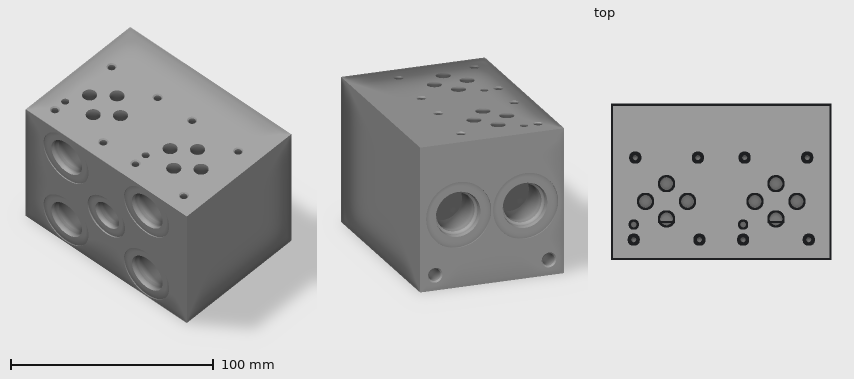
import cadquery as cq

LENGTH = 108.0
DEPTH = 76.2
HEIGHT = 76.2

STATION_X = (LENGTH / 4, 3 * LENGTH / 4)
VALVE_PORT_DIA = 7.5
VALVE_PORT_DEPTH = 7.6
SIDE_PORT_OFFSET = 10.4
LOWER_PORT_Y = 19.9
SIDE_PORT_Y = 28.5
UPPER_PORT_Y = 37.2
PIN_DIA = 4.0
PIN_DEPTH = 5.4
PIN_Y = 17.1
SCREW_DIA = 3.7
SCREW_MOUTH_DIA = 5.0
SCREW_DEPTH = 15.1
FRONT_SCREW_OFFSET = 16.2
FRONT_SCREW_Y = 9.6
REAR_SCREW_OFFSET = 15.4
REAR_SCREW_Y = 50.1

WORK_PORT_Z = (16.1, 60.5)
PORT_DEPTH = 18.2
GAUGE_PORT_X = LENGTH / 2
GAUGE_PORT_Z = HEIGHT / 2
SUPPLY_PORT_OFFSET = 17.7
SUPPLY_PORT_DEPTH = 21.6

WORK_PORT = dict(spotface_dia=30.2, spotface_depth=0.5, mouth_dia=20.5, seat_dia=19.6, bore_dia=17.4)
GAUGE_PORT = dict(spotface_dia=25.0, spotface_depth=0.8, mouth_dia=15.9, seat_dia=14.8, bore_dia=12.7)
SUPPLY_PORT = dict(spotface_dia=34.4, spotface_depth=0.8, mouth_dia=23.6, seat_dia=22.7, bore_dia=20.3)
SEAT_DEPTH = 2.6

MOUNT_DIA = 6.4
MOUNT_MOUTH_DIA = 7.8
MOUNT_DEPTH = 15.1
MOUNT_INSET = 8.0

DRILL_TIP_RATIO = 0.3


def revolved(points):
    """Revolve a (radius, depth) outline about the hole axis, which runs along -Z."""
    outline = cq.Workplane("XZ").polyline([(r, -d) for r, d in points]).close()
    return outline.revolve(360, (0, 0, 0), (0, 1, 0))


def drilled_hole(dia, mouth_dia, depth):
    """Hole with a 45 degree countersunk mouth and a conical tip."""
    radius = dia / 2
    mouth = mouth_dia / 2
    tip = depth + DRILL_TIP_RATIO * dia
    return revolved([(0, 0), (mouth, 0), (radius, mouth - radius), (radius, depth), (0, tip)])


def threaded_port(depth, spotface_dia, spotface_depth, mouth_dia, seat_dia, bore_dia):
    """Spotface, tapered seal seat, 45 degree step, then a flat-bottomed bore."""
    seat_end = spotface_depth + SEAT_DEPTH
    step_depth = (seat_dia - bore_dia) / 2
    return revolved([
        (0, 0),
        (spotface_dia / 2, 0),
        (spotface_dia / 2, spotface_depth),
        (mouth_dia / 2, spotface_depth),
        (seat_dia / 2, seat_end),
        (bore_dia / 2, seat_end + step_depth),
        (bore_dia / 2, depth),
        (0, depth),
    ])


def plain_hole(dia, depth):
    """Flat-bottomed hole."""
    return revolved([(0, 0), (dia / 2, 0), (dia / 2, depth), (0, depth)])


def on_top(tool, x, y):
    """Place a hole on the top face at (x, y)."""
    return tool.translate((x, y, HEIGHT))


def on_front(tool, x, z):
    """Place a hole on the -Y face at (x, z)."""
    return tool.rotate((0, 0, 0), (1, 0, 0), 90).translate((x, 0, z))


def on_left(tool, y, z):
    """Place a hole on the -X face at (y, z)."""
    return tool.rotate((0, 0, 0), (0, 1, 0), -90).translate((0, y, z))


def valve_station(x):
    """Cutters for one valve pattern on the top face."""
    port = plain_hole(VALVE_PORT_DIA, VALVE_PORT_DEPTH)
    screw = drilled_hole(SCREW_DIA, SCREW_MOUTH_DIA, SCREW_DEPTH)
    cutters = [
        on_top(port, x, LOWER_PORT_Y),
        on_top(port, x, UPPER_PORT_Y),
        on_top(plain_hole(PIN_DIA, PIN_DEPTH), x - FRONT_SCREW_OFFSET, PIN_Y),
    ]
    for side in (-1, 1):
        cutters.append(on_top(port, x + side * SIDE_PORT_OFFSET, SIDE_PORT_Y))
        cutters.append(on_top(screw, x + side * FRONT_SCREW_OFFSET, FRONT_SCREW_Y))
        cutters.append(on_top(screw, x + side * REAR_SCREW_OFFSET, REAR_SCREW_Y))
    return cutters


work_port = threaded_port(PORT_DEPTH, **WORK_PORT)
gauge_port = threaded_port(PORT_DEPTH, **GAUGE_PORT)
supply_port = threaded_port(SUPPLY_PORT_DEPTH, **SUPPLY_PORT)
mount_hole = drilled_hole(MOUNT_DIA, MOUNT_MOUTH_DIA, MOUNT_DEPTH)

cutters = [on_front(gauge_port, GAUGE_PORT_X, GAUGE_PORT_Z)]
for station_x in STATION_X:
    cutters += valve_station(station_x)
    for port_z in WORK_PORT_Z:
        cutters.append(on_front(work_port, station_x, port_z))
for side in (-1, 1):
    cutters.append(on_left(supply_port, DEPTH / 2 + side * SUPPLY_PORT_OFFSET, HEIGHT / 2))
    cutters.append(on_left(mount_hole, DEPTH / 2 + side * (DEPTH / 2 - MOUNT_INSET), MOUNT_INSET))

result = cq.Workplane("XY").box(LENGTH, DEPTH, HEIGHT, centered=False)
for cutter in cutters:
    result = result.cut(cutter)